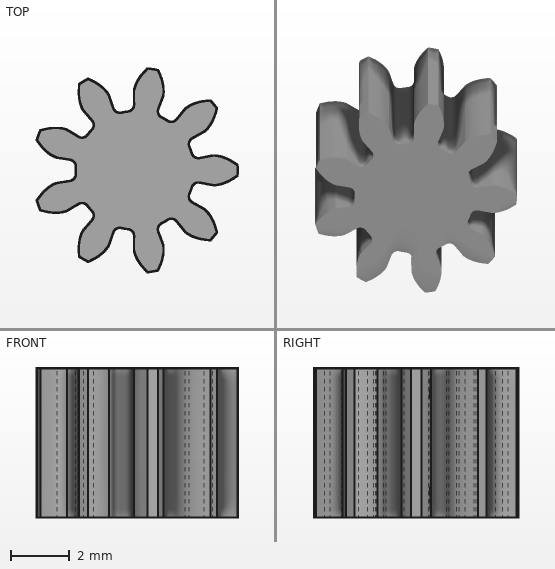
import cadquery as cq
import math

teeth = 9
tip_radius = 3.49
root_radius = 2.02
root_fillet = 0.23
face_width = 5.08
pressure_angle = math.radians(20)
flank_steps = 5

module = 2 * tip_radius / (teeth + 2)
pitch_radius = module * teeth / 2
base_radius = pitch_radius * math.cos(pressure_angle)
pitch_angle = 2 * math.pi / teeth


def polar(radius, angle):
    return (radius * math.cos(angle), radius * math.sin(angle))


def involute_angle(radius):
    """Angle an involute sweeps from the base circle out to the given radius."""
    roll = math.acos(base_radius / radius)
    return math.tan(roll) - roll


base_half_angle = pitch_angle / 4 + involute_angle(pitch_radius)
tip_half_angle = base_half_angle - involute_angle(tip_radius)

fillet_center_radius = root_radius + root_fillet
fillet_offset_angle = math.asin(root_fillet / fillet_center_radius)
fillet_half_angle = base_half_angle + fillet_offset_angle
foot_radius = fillet_center_radius * math.cos(fillet_offset_angle)


def fillet_midpoint(center_angle, side):
    """Middle of the fillet arc; side is -1 before the tooth and +1 after it."""
    center_x, center_y = polar(fillet_center_radius, center_angle + side * fillet_half_angle)
    root_direction = center_angle + side * fillet_half_angle + math.pi
    foot_direction = center_angle + side * (base_half_angle - math.pi / 2)
    dx = math.cos(root_direction) + math.cos(foot_direction)
    dy = math.sin(root_direction) + math.sin(foot_direction)
    reach = root_fillet / math.hypot(dx, dy)
    return (center_x + reach * dx, center_y + reach * dy)


def flank_points(center_angle, side):
    """Involute points from just outside the base circle to the tip."""
    points = []
    for step in range(1, flank_steps + 1):
        radius = base_radius + (tip_radius - base_radius) * (step / flank_steps) ** 2
        half_angle = base_half_angle - involute_angle(radius)
        points.append(polar(radius, center_angle + side * half_angle))
    return points


def add_tooth(outline, center_angle):
    """Draw one tooth and the root arc that follows it, counterclockwise."""
    rising_flank = flank_points(center_angle, -1)
    base_end = polar(base_radius, center_angle + base_half_angle)
    falling_flank = flank_points(center_angle, 1)[-2::-1] + [base_end]
    next_gap = center_angle + pitch_angle / 2
    next_root_start = center_angle + pitch_angle - fillet_half_angle

    outline = outline.threePointArc(
        fillet_midpoint(center_angle, -1), polar(foot_radius, center_angle - base_half_angle)
    )
    outline = outline.lineTo(*polar(base_radius, center_angle - base_half_angle))
    outline = outline.spline(rising_flank, includeCurrent=True)
    outline = outline.threePointArc(
        polar(tip_radius, center_angle), polar(tip_radius, center_angle + tip_half_angle)
    )
    outline = outline.spline(falling_flank, includeCurrent=True)
    outline = outline.lineTo(*polar(foot_radius, center_angle + base_half_angle))
    outline = outline.threePointArc(
        fillet_midpoint(center_angle, 1), polar(root_radius, center_angle + fillet_half_angle)
    )
    return outline.threePointArc(polar(root_radius, next_gap), polar(root_radius, next_root_start))


profile = cq.Workplane("XY").moveTo(*polar(root_radius, -fillet_half_angle))
for tooth in range(teeth):
    profile = add_tooth(profile, tooth * pitch_angle)

result = profile.close().extrude(face_width)